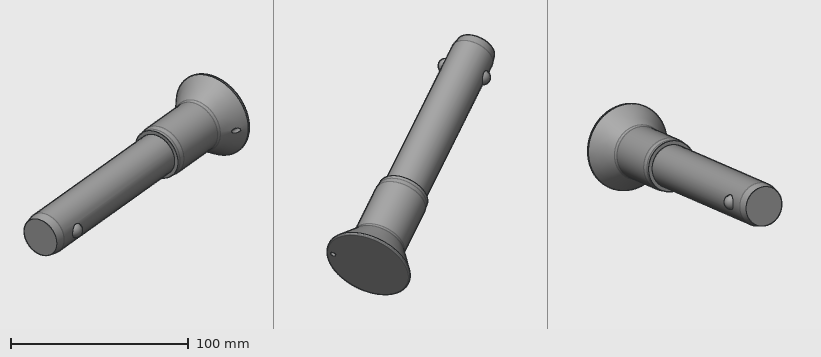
import cadquery as cq


total_length = 166.8
handle_length = 55.0
grip_length = total_length - handle_length

shank_radius = 12.5
tip_radius = 11.4
tip_taper_length = 5.5

collar_radius = 14.75
collar_cylinder_length = 2.0
collar_taper_length = 3.0

sleeve_radius = 15.25
head_radius = 25.0
rim_thickness = 1.65
rim_fillet_radius = 0.6
flare_length = 14.9
flare_fillet_radius = 3.5

ball_radius = 4.3
ball_reach = 15.55
ball_distance_from_tip = 17.8

lanyard_hole_diameter = 3.0
lanyard_hole_offset = 21.0


def circle_at(y):
    """Selector for the circular edge of the turned body in the plane at Y = y."""
    margin = 0.1
    reach = head_radius + margin
    return cq.selectors.BoxSelector((-reach, y - margin, -reach), (reach, y + margin, reach), boundingbox=True)


def make_body():
    """Shank, collar, sleeve and flared head, revolved about the Y axis."""
    collar_end = collar_cylinder_length + collar_taper_length
    rim_start = handle_length - rim_thickness
    flare_start = rim_start - flare_length
    body = (
        cq.Workplane("XY")
        .moveTo(0, -grip_length)
        .lineTo(tip_radius, -grip_length)
        .lineTo(shank_radius, -grip_length + tip_taper_length)
        .lineTo(shank_radius, 0)
        .lineTo(collar_radius, 0)
        .lineTo(collar_radius, collar_cylinder_length)
        .lineTo(sleeve_radius, collar_end)
        .lineTo(sleeve_radius, flare_start)
        .lineTo(head_radius, rim_start)
        .lineTo(head_radius, handle_length)
        .lineTo(0, handle_length)
        .close()
        .revolve(360, (0, 0, 0), (0, 1, 0))
    )
    body = body.faces(">Y").edges().fillet(rim_fillet_radius)
    return body.edges(circle_at(flare_start)).fillet(flare_fillet_radius)


def make_ball(side):
    """Locking ball standing out of the shank on the +X (1) or -X (-1) side."""
    ball_x = side * (ball_reach - ball_radius)
    ball_y = -grip_length + ball_distance_from_tip
    return cq.Workplane("XY").sphere(ball_radius).translate((ball_x, ball_y, 0))


def make_lanyard_hole():
    """Cutter running along Y through the whole flared head."""
    return (
        cq.Workplane("XZ")
        .center(lanyard_hole_offset, 0)
        .circle(lanyard_hole_diameter / 2)
        .extrude(-handle_length)
    )


result = make_body()
for side in (-1, 1):
    result = result.union(make_ball(side))
result = result.cut(make_lanyard_hole())